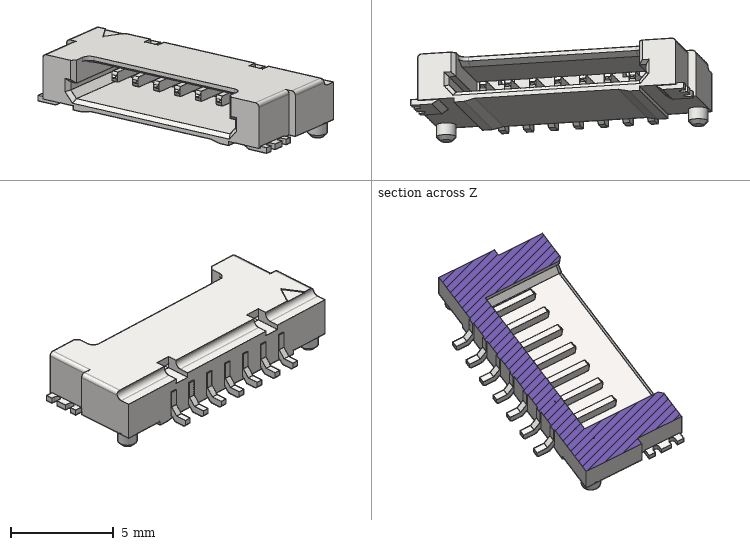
import cadquery as cq
import math


half_width = 6.85
front_half_width = 6.47
shoulder_y = 2.51
rear_y = 5.7
top_z = 2.52
skirt_z = 0.21
side_fillet = 0.2

step_y = 4.9
step_z = 2.14
step_fillet = 0.3

foot_half_width = 4.655
recess_half_width_bottom = 4.13
recess_half_width_top = 3.6
recess_height = 0.12

cavity_rear_y = 4.4
cavity_half_width = 4.6
cavity_top_z = 2.1
cavity_floor_z = 0.54
keyway_half_width = 4.94
keyway_top_z = 1.33
keyway_bend_z = 0.92
floor_half_width = 4.6
mouth_chamfer = 0.2

notch_depth = 1.12
notch_radius = 0.4
notch_bevel_height = 0.21
notch_bevel_run = 0.35

window_x = 3.13
window_width = 0.8
window_floor_z = 1.89

mark_x = -5.65
mark_half_width = 0.6
mark_tip_y = 3.87
mark_depth = 0.05

peg_x = 6.32
peg_y = 5.1
peg_radius = 0.48
peg_bottom_z = -0.58
peg_chamfer = 0.2

tab_front_y = 0.12
tab_rear_y = 2.1
tab_thickness = 0.29
tab_inner_x = 5.445
tab_toe_x = 5.785
tab_slot_centres = (0.66, 1.575)
tab_slot_width = 0.33
tab_slot_end_x = 6.5

contact_count = 7
contact_pitch = 1.25
contact_width = 0.33
contact_mid_z = 1.28
contact_half_height = 0.26
contact_shoulder_y = 2.18
wedge_half_height = 0.085
tip_side_chamfer = 0.1
nose_arc_angle = 45
tail_outer_y = 5.76
tail_inner_y = 5.4
tail_top_z = 1.57
tail_bend_z = 0.74
tail_bend_run = 0.34
tail_end_y = 6.7
tail_thickness = 0.37
tail_heel_run = 0.23
tail_toe_chamfer = 0.1


def box(x0, x1, y0, y1, z0, z1):
    return cq.Workplane("XY").box(x1 - x0, y1 - y0, z1 - z0, centered=False).translate((x0, y0, z0))


def symmetric_points(right_half):
    """Complete an outline given by its +X half, mirroring that half across X = 0."""
    return right_half + [(-x, other) for x, other in reversed(right_half)]


def make_housing():
    rear = box(-half_width, half_width, shoulder_y, rear_y, skirt_z, top_z)
    rear = rear.edges("|Y and >Z").fillet(side_fillet)
    front = box(-front_half_width, front_half_width, 0, rear_y, skirt_z, top_z)
    front = front.edges("|Y and >Z").fillet(side_fillet)
    return rear.union(front).union(make_foot())


def make_foot():
    foot = box(-foot_half_width, foot_half_width, 0, rear_y, 0, cavity_floor_z)
    recess = (
        cq.Workplane("XZ")
        .polyline(
            symmetric_points([(recess_half_width_top, recess_height), (recess_half_width_bottom, 0)])
        )
        .close()
        .extrude(-rear_y)
    )
    return foot.cut(recess)


def make_rear_step():
    arc_inset = step_fillet * (1 - math.cos(math.radians(45)))
    return (
        cq.Workplane("YZ")
        .moveTo(rear_y, step_z)
        .lineTo(step_y + step_fillet, step_z)
        .threePointArc((step_y + arc_inset, step_z + arc_inset), (step_y, step_z + step_fillet))
        .lineTo(step_y, top_z)
        .lineTo(rear_y, top_z)
        .close()
        .extrude(half_width, both=True)
    )


def cavity_outline(outline_top_z):
    """Cavity cross-section: stepped sides, sloping lower corners and a flat floor."""
    return symmetric_points(
        [
            (cavity_half_width, outline_top_z),
            (cavity_half_width, keyway_top_z),
            (keyway_half_width, keyway_top_z),
            (keyway_half_width, keyway_bend_z),
            (floor_half_width, cavity_floor_z),
        ]
    )


def make_cavity():
    return cq.Workplane("XZ").polyline(cavity_outline(cavity_top_z)).close().extrude(-cavity_rear_y)


def make_mouth():
    """Chamfer round the mouth of the cavity, open at the top through the roof notch."""
    outline = cavity_outline(top_z + mouth_chamfer)
    throat = cq.Workplane("XZ", origin=(0, mouth_chamfer, 0)).polyline(outline).close()
    face = cq.Workplane("XZ").polyline(outline).close().offset2D(mouth_chamfer, "intersection")
    return cq.Workplane(cq.Solid.makeLoft([throat.wires().val(), face.wires().val()], True))


def notch_wire(growth, z):
    """Notch outline at height z, grown outward by the given amount."""
    half = cavity_half_width + growth
    depth = notch_depth + growth
    block = box(-half, half, 0, depth, z, top_z)
    return block.edges("|Z and >Y").fillet(notch_radius + growth).faces("<Z").wires().val()


def make_roof_notch():
    """Opening with rounded inner corners and a bevel round its lower edge."""
    bevel_top_z = cavity_top_z + notch_bevel_height
    opening = cq.Workplane(notch_wire(0, cavity_top_z)).toPending().extrude(top_z - cavity_top_z)
    grown = notch_wire(notch_bevel_run, cavity_top_z)
    bevel = cq.Workplane(cq.Solid.makeLoft([grown, notch_wire(0, bevel_top_z)], True))
    within_cavity = box(-cavity_half_width, cavity_half_width, 0, cavity_rear_y, cavity_top_z, bevel_top_z)
    return opening.union(bevel.intersect(within_cavity))


def make_windows():
    windows = cq.Workplane("XY")
    for x in (-window_x, window_x):
        windows = windows.union(
            box(x - window_width / 2, x + window_width / 2, cavity_rear_y, rear_y, window_floor_z, top_z)
        )
    return windows


def make_mark():
    return (
        cq.Workplane("XY", origin=(mark_x, 0, top_z - mark_depth))
        .polyline([(-mark_half_width, step_y), (mark_half_width, step_y), (0, mark_tip_y)])
        .close()
        .extrude(mark_depth)
    )


def make_peg(side):
    peg = cq.Workplane("XY", origin=(side * peg_x, peg_y, peg_bottom_z))
    return peg.circle(peg_radius).extrude(skirt_z - peg_bottom_z).faces("<Z").chamfer(peg_chamfer)


def make_tab(side):
    """Solder tab with a sloping inner toe and two round-ended slots open to the outside."""
    tab = (
        cq.Workplane("XZ", origin=(0, tab_front_y, 0))
        .polyline(
            [
                (side * half_width, 0),
                (side * half_width, tab_thickness),
                (side * tab_inner_x, tab_thickness),
                (side * tab_inner_x, skirt_z),
                (side * tab_toe_x, 0),
            ]
        )
        .close()
        .extrude(tab_front_y - tab_rear_y)
    )
    arc_centre_x = tab_slot_end_x + tab_slot_width / 2
    slot_reach = 2 * (half_width - arc_centre_x) + tab_slot_width
    for y in tab_slot_centres:
        slot = cq.Workplane("XY").center(side * half_width, y).slot2D(slot_reach, tab_slot_width)
        tab = tab.cut(slot.extrude(tab_thickness))
    return tab


def make_contact():
    """One contact centred on X = 0: rounded nose with a wedge tip, bent down to a solder tail."""
    low_z = contact_mid_z - contact_half_height
    high_z = contact_mid_z + contact_half_height
    nose_radius = (contact_half_height - wedge_half_height) / math.sin(math.radians(nose_arc_angle))
    nose_y = contact_shoulder_y + nose_radius * (1 - math.cos(math.radians(nose_arc_angle)))
    arc_mid_y = contact_shoulder_y + nose_radius * (1 - math.cos(math.radians(nose_arc_angle / 2)))
    arc_mid_height = wedge_half_height + nose_radius * math.sin(math.radians(nose_arc_angle / 2))
    half = contact_width / 2
    tip_y = contact_shoulder_y - wedge_half_height
    heel_y = tail_outer_y + tail_heel_run
    blank = (
        cq.Workplane("YZ")
        .moveTo(tip_y, contact_mid_z)
        .lineTo(contact_shoulder_y, contact_mid_z + wedge_half_height)
        .threePointArc((arc_mid_y, contact_mid_z + arc_mid_height), (nose_y, high_z))
        .lineTo(tail_inner_y, high_z)
        .lineTo(tail_inner_y, tail_top_z)
        .lineTo(tail_outer_y, tail_top_z)
        .lineTo(tail_outer_y, tail_bend_z)
        .lineTo(tail_outer_y + tail_bend_run, tail_thickness)
        .lineTo(tail_end_y, tail_thickness)
        .lineTo(tail_end_y, tail_toe_chamfer)
        .lineTo(tail_end_y - tail_toe_chamfer, 0)
        .lineTo(heel_y, 0)
        .lineTo(tail_inner_y, heel_y - tail_inner_y)
        .lineTo(tail_inner_y, low_z)
        .lineTo(nose_y, low_z)
        .threePointArc(
            (arc_mid_y, contact_mid_z - arc_mid_height),
            (contact_shoulder_y, contact_mid_z - wedge_half_height),
        )
        .close()
        .extrude(half, both=True)
    )
    plan = (
        cq.Workplane("XY")
        .polyline(
            symmetric_points(
                [
                    (half, tail_end_y),
                    (half, tip_y + tip_side_chamfer),
                    (half - tip_side_chamfer, tip_y),
                ]
            )
        )
        .close()
        .extrude(top_z)
    )
    return blank.intersect(plan)


result = make_housing()
for make_cutter in (make_rear_step, make_cavity, make_mouth, make_roof_notch, make_windows, make_mark):
    result = result.cut(make_cutter())
for side in (-1, 1):
    result = result.union(make_peg(side)).union(make_tab(side))
contact = make_contact()
for i in range(contact_count):
    x = (i - (contact_count - 1) / 2) * contact_pitch
    result = result.union(contact.translate((x, 0, 0)))